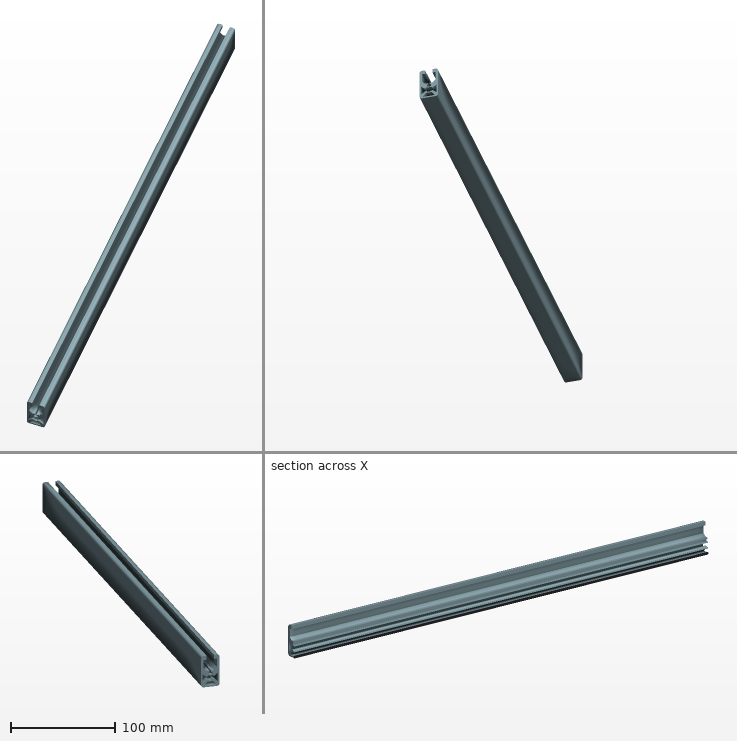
import cadquery as cq

length = 500.0
width = 18.5
height = 32.0
corner_radius = 2.5

channel_width = 13.5
channel_floor = 16.5
floor_chamfer = 3.0
mouth_width = 7.5
lip_thickness = 4.0

slot_width = 1.5
port_width = 4.0
port_bottom = 12.5
port_top = 15.0

hollow_width = 15.5
hollow_top = 13.5
hollow_bottom = 4.5
upper_tip_height = 10.5
tip_offset = 3.75
upper_recess_height = 11.5
upper_recess_half_width = 2.5
lower_tip_height = 7.5
lower_tip_inner_offset = 2.0
lower_dip_height = 6.5
lower_dip_half_width = 1.25

base_thickness = 1.5
base_hollow_top = 5.5
base_hollow_top_half_width = 3.0
base_hollow_bottom_half_width = 6.0


def extrude_symmetric(right_side):
    """Mirror a bottom-to-top half outline in X and extrude it along the rail."""
    left_side = [(-x, z) for x, z in reversed(right_side)]
    outline = cq.Workplane("XZ").polyline(right_side + left_side).close()
    return outline.extrude(length / 2, both=True)


def band(band_width, bottom, top):
    """Full-length rectangular prism centred on X = 0."""
    half_width = band_width / 2
    return extrude_symmetric([(half_width, bottom), (half_width, top)])


def body():
    return band(width, 0, height).edges("|Y").fillet(corner_radius)


def channel():
    half_width = channel_width / 2
    lip_bottom = height - lip_thickness
    mouth_half = mouth_width / 2
    return extrude_symmetric([
        (half_width - floor_chamfer, channel_floor),
        (half_width, channel_floor + floor_chamfer),
        (half_width, lip_bottom),
        (mouth_half, lip_bottom),
        (mouth_half, height),
    ])


def keyhole_groove():
    slot = band(slot_width, port_bottom, channel_floor)
    return band(port_width, port_bottom, port_top).union(slot)


def middle_hollow():
    half_width = hollow_width / 2
    return extrude_symmetric([
        (lower_dip_half_width, lower_dip_height),
        (lower_tip_inner_offset, lower_tip_height),
        (tip_offset, lower_tip_height),
        (half_width, hollow_bottom),
        (half_width, hollow_top),
        (tip_offset, upper_tip_height),
        (upper_recess_half_width, upper_recess_height),
    ])


def base_hollow():
    return extrude_symmetric([
        (base_hollow_bottom_half_width, base_thickness),
        (base_hollow_top_half_width, base_hollow_top),
    ])


rail = body()
for cutter in (channel(), keyhole_groove(), middle_hollow(), base_hollow()):
    rail = rail.cut(cutter)

result = rail.translate((0, 0, -height / 2))